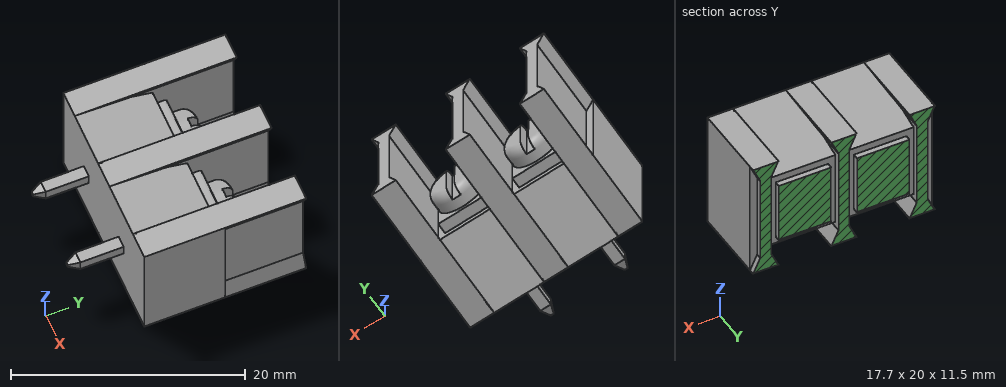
import cadquery as cq
import math


POLES = 2
PITCH = 7.62
WALL = 2.5
DEPTH = 15
HEIGHT = 11.5
WIDTH = POLES * PITCH + WALL
BAY_WIDTH = PITCH - WALL
MID_Z = HEIGHT / 2

UNDERCUT = 0.7
FLANGE_SLOPE_HEIGHT = 1.5

BLOCK_DEPTH = DEPTH / 2
BLOCK_DROP = 2.05

PLATE_THICKNESS = 1.05
PLATE_TOP = 8.75
PLATE_HEIGHT = 2 * (PLATE_TOP - MID_Z)
PLATE_ROUND = 0.35

HEAD_DIAMETER = 5
HEAD_HEIGHT = 1.95
HEAD_ROUND = 0.95
SLOT_WIDTH = 0.85
SLOT_DEPTH = HEAD_ROUND

PIN_WIDTH = 1.1
PIN_STRAIGHT = 4
PIN_TAPER = 1
PIN_TIP_WIDTH = 0.3

POLE_CENTERS = [PITCH * (i - (POLES - 1) / 2) for i in range(POLES)]
PLATE_FRONT = BLOCK_DEPTH + PLATE_THICKNESS


def bay_void(x, y_start):
    """Bay between two walls, widened between the flanges, from y_start to the open front."""
    half_mouth = BAY_WIDTH / 2
    half_inside = half_mouth + UNDERCUT
    upper = HEIGHT - FLANGE_SLOPE_HEIGHT
    lower = FLANGE_SLOPE_HEIGHT
    outline = [
        (x - half_mouth, 0),
        (x + half_mouth, 0),
        (x + half_inside, lower),
        (x + half_inside, upper),
        (x + half_mouth, HEIGHT),
        (x - half_mouth, HEIGHT),
        (x - half_inside, upper),
        (x - half_inside, lower),
    ]
    void = cq.Workplane("XZ").polyline(outline).close().extrude(-(DEPTH - y_start))
    return void.translate((0, y_start, 0))


def sloping_block():
    """Rear block across the bays, tapering in height towards +Y."""
    outline = [
        (0, 0),
        (BLOCK_DEPTH, BLOCK_DROP),
        (BLOCK_DEPTH, HEIGHT - BLOCK_DROP),
        (0, HEIGHT),
    ]
    length = WIDTH - WALL
    return cq.Workplane("YZ").polyline(outline).close().extrude(length / 2, both=True)


def housing():
    """Walls and rear block; the outer walls are undercut outside only in their front half."""
    body = cq.Workplane("XY").box(WIDTH, DEPTH, HEIGHT, centered=(True, False, False))
    for x in POLE_CENTERS:
        body = body.cut(bay_void(x, 0))
    body = body.union(sloping_block())
    for side in (-1, 1):
        outside_x = side * (WIDTH + BAY_WIDTH) / 2
        body = body.cut(bay_void(outside_x, BLOCK_DEPTH))
    return body


def clamp_plate(x):
    """Plate lying against the front of the rear block."""
    plate = cq.Workplane("XY").box(BAY_WIDTH, PLATE_THICKNESS, PLATE_HEIGHT, centered=(True, False, True))
    plate = plate.edges(">Y and >Z").fillet(PLATE_ROUND)
    return plate.translate((x, BLOCK_DEPTH, MID_Z))


def screw_head(x):
    """Domed head with a driver slot running along Z."""
    head = cq.Workplane("XZ").circle(HEAD_DIAMETER / 2).extrude(-HEAD_HEIGHT)
    head = head.faces(">Y").edges().fillet(HEAD_ROUND)
    slot = cq.Workplane("XY").box(SLOT_WIDTH, SLOT_DEPTH, HEAD_DIAMETER, centered=(True, False, True))
    head = head.cut(slot.translate((0, HEAD_HEIGHT - SLOT_DEPTH, 0)))
    return head.translate((x, PLATE_FRONT, MID_Z))


def pin(x):
    """Straight square shank followed by a pyramidal tip."""
    shank = cq.Workplane("XZ").rect(PIN_WIDTH, PIN_WIDTH).extrude(PIN_STRAIGHT)
    taper_angle = math.degrees(math.atan((PIN_WIDTH - PIN_TIP_WIDTH) / 2 / PIN_TAPER))
    tip = shank.faces("<Y").workplane().rect(PIN_WIDTH, PIN_WIDTH).extrude(PIN_TAPER, taper=taper_angle)
    return tip.translate((x, 0, MID_Z))


result = housing()
for center in POLE_CENTERS:
    result = result.union(clamp_plate(center))
    result = result.union(screw_head(center))
    result = result.union(pin(center))